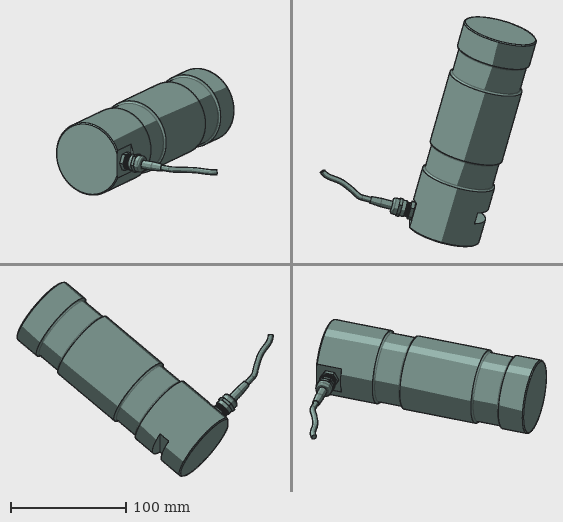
import cadquery as cq
import math

pin_length = 190.0
pin_diameter = 65.0
pin_radius = pin_diameter / 2
end_chamfer = 1.0

groove_diameter = 61.0
groove_depth = (pin_diameter - groove_diameter) / 2
groove_width = 25.0
groove_starts = (52.0, 142.0)
groove_fillet = 1.5

slot_width = 10.0
slot_depth = 10.0
slot_start = 22.0

flat_x = 30.0
flat_length = 23.0

gland_y = 12.4
hex_across_flats = 14.3
hex_across_corners = hex_across_flats / math.cos(math.pi / 6)

base_hex_length = 3.3
neck_length = 4.0
neck_diameter = 12.8
neck_groove_count = 4
neck_groove_depth = 0.4
neck_groove_pitch = 0.75

nut_length = 11.9
nut_diameter = hex_across_flats
nut_fillet = 2.0
nut_hex_offset = 3.7
nut_hex_length = 2.7

boot_length = 10.0
boot_diameter = 7.4
boot_cone_length = 9.1
boot_tip_diameter = 6.0

neck_x = flat_x + base_hex_length
nut_x = neck_x + neck_length
nut_end_x = nut_x + nut_length
boot_cone_x = nut_end_x + boot_length
boot_tip_x = boot_cone_x + boot_cone_length

cable_diameter = 4.6
cable_straight_length = 7.8
cable_bend_x = boot_tip_x + cable_straight_length
cable_end_angle = 42.0
cable_reach_x = 116.93
cable_end_x = cable_reach_x - cable_diameter / 2 * math.sin(math.radians(cable_end_angle))
cable_end_y = 26.3
cable_waypoints = [(82.5, 14.7), (90.5, 18.8), (98.0, 21.6), (106.5, 22.7)]


def make_groove(start_y):
    """Ring that cuts one relief groove, its floor rounded into both side walls."""
    floor = groove_diameter / 2
    end_y = start_y + groove_width
    outer = floor + 2 * groove_depth
    corner = groove_fillet * (1 - math.sqrt(0.5))
    return (
        cq.Workplane("XY")
        .moveTo(outer, start_y)
        .lineTo(floor + groove_fillet, start_y)
        .threePointArc((floor + corner, start_y + corner), (floor, start_y + groove_fillet))
        .lineTo(floor, end_y - groove_fillet)
        .threePointArc((floor + corner, end_y - corner), (floor + groove_fillet, end_y))
        .lineTo(outer, end_y)
        .close()
        .revolve(360, (0, 0, 0), (0, 1, 0))
    )


def make_pin():
    """Round pin along Y with grooves, a keeper slot and a gland flat."""
    body = (
        cq.Workplane("XZ")
        .circle(pin_radius)
        .extrude(-pin_length)
        .faces("<Y or >Y")
        .chamfer(end_chamfer)
    )
    for start_y in groove_starts:
        body = body.cut(make_groove(start_y))

    slot = cq.Workplane("XY").box(slot_depth, slot_width, pin_diameter, centered=(False, False, True))
    body = body.cut(slot.translate((-pin_radius, slot_start, 0)))

    flat = cq.Workplane("XY").box(pin_radius, flat_length, pin_diameter, centered=(False, False, True))
    return body.cut(flat.translate((flat_x, 0, 0)))


def gland_plane(x):
    """Workplane facing +X on the gland axis."""
    return cq.Workplane(cq.Plane(origin=(x, gland_y, 0), xDir=(0, 1, 0), normal=(1, 0, 0)))


def make_hex(x, length):
    """Hexagonal prism on the gland axis with corners towards +Y and -Y."""
    return gland_plane(x).polygon(6, hex_across_corners).extrude(length)


def make_neck_groove(center_x):
    """V-shaped ring that is cut into the gland neck."""
    rim = neck_diameter / 2
    half_width = neck_groove_pitch / 2
    return (
        cq.Workplane("XY")
        .moveTo(center_x - half_width, gland_y + rim)
        .lineTo(center_x, gland_y + rim - neck_groove_depth)
        .lineTo(center_x + half_width, gland_y + rim)
        .close()
        .revolve(360, (0, gland_y, 0), (1, gland_y, 0))
    )


def make_gland():
    """Hex base, grooved neck, cap nut with hex collar, and bend-relief boot."""
    neck = gland_plane(neck_x).circle(neck_diameter / 2).extrude(neck_length)
    first_groove_x = nut_x - (neck_groove_count - 0.5) * neck_groove_pitch
    for index in range(neck_groove_count):
        neck = neck.cut(make_neck_groove(first_groove_x + index * neck_groove_pitch))

    nut = gland_plane(nut_x).circle(nut_diameter / 2).extrude(nut_length)
    nut = nut.faces(">X").edges().fillet(nut_fillet)

    boot = gland_plane(nut_end_x).circle(boot_diameter / 2).extrude(boot_length)
    boot_cone = (
        gland_plane(boot_cone_x)
        .circle(boot_diameter / 2)
        .workplane(offset=boot_cone_length)
        .circle(boot_tip_diameter / 2)
        .loft()
    )
    return (
        make_hex(flat_x, base_hex_length)
        .union(neck)
        .union(nut)
        .union(make_hex(nut_x + nut_hex_offset, nut_hex_length))
        .union(boot)
        .union(boot_cone)
    )


def make_cable():
    """Round cable: straight out of the boot, then a wave in the XY plane."""
    end_angle = math.radians(cable_end_angle)
    bend_points = [(cable_bend_x, gland_y), *cable_waypoints, (cable_end_x, cable_end_y)]
    path = (
        cq.Workplane("XY")
        .moveTo(boot_tip_x, gland_y)
        .lineTo(cable_bend_x, gland_y)
        .spline(bend_points[1:], tangents=[(1, 0), (math.cos(end_angle), math.sin(end_angle))],
                includeCurrent=True)
    )
    return gland_plane(boot_tip_x).circle(cable_diameter / 2).sweep(path)


pin = make_pin()
gland = make_gland()
cable = make_cable()

result = cq.Compound.makeCompound([pin.val(), gland.val(), cable.val()])